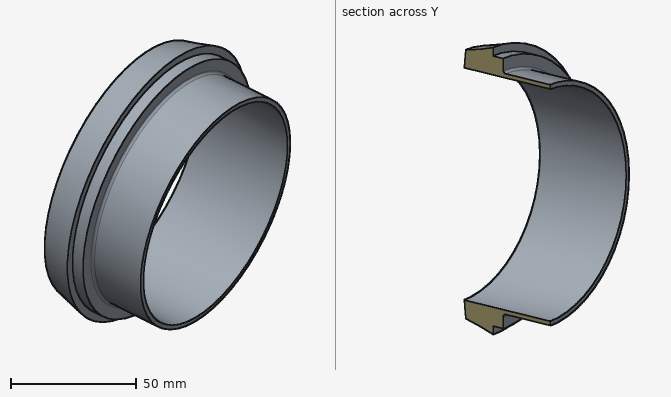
import cadquery as cq

total_length = 44.0
face_rise = 0.7
collar_back = 14.9
shoulder_back = 20.1

bore_diameter = 97.6
rim_diameter = 98.5
tube_diameter = 101.6
shoulder_diameter = 114.0
collar_front_diameter = 113.3
collar_diameter = 121.0

root_fillet = 1.1

result = (
    cq.Workplane("XY")
    .moveTo(0, bore_diameter / 2)
    .lineTo(0, rim_diameter / 2)
    .lineTo(face_rise, collar_front_diameter / 2)
    .lineTo(collar_back, collar_diameter / 2)
    .lineTo(collar_back, shoulder_diameter / 2)
    .lineTo(shoulder_back, shoulder_diameter / 2)
    .lineTo(shoulder_back, tube_diameter / 2 + root_fillet)
    .radiusArc((shoulder_back + root_fillet, tube_diameter / 2), -root_fillet)
    .lineTo(total_length, tube_diameter / 2)
    .lineTo(total_length, bore_diameter / 2)
    .close()
    .revolve(360, (0, 0, 0), (1, 0, 0))
)